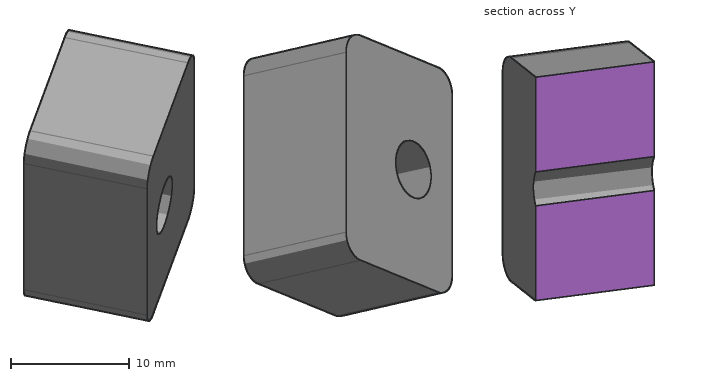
import cadquery as cq

thickness = 10.85
width = 15.0
height = 20.0
corner_radius = 2.0

hole_diameter = 5.0
hole_offset_y = -2.0

block = cq.Workplane("XY").box(thickness, width, height).edges("|X").fillet(corner_radius)

hole = (
    cq.Workplane("YZ")
    .center(hole_offset_y, 0)
    .circle(hole_diameter / 2)
    .extrude(thickness, both=True)
)

result = block.cut(hole)